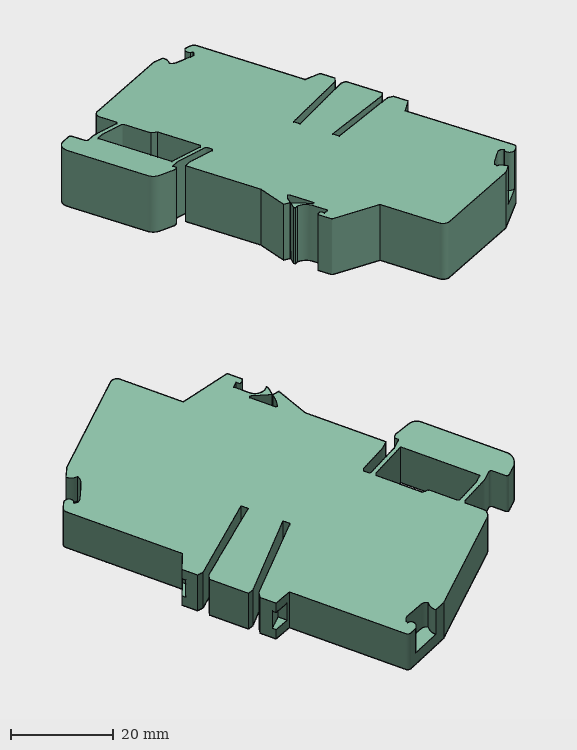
import cadquery as cq
import math

length = 80.0
width = 50.0
thickness = 12.8
mid_x = length / 2

body_bottom = 14.0
body_top = 46.6
shoulder_y = 37.0
shoulder_run = 3.3
shoulder_radius = 1.0
body_corner_radius = 1.4

tab_half_base = 11.4
tab_half_top = 10.0
slot_floor_y = 31.8
slot_outer_floor = 5.2
slot_inner_floor = 3.7
slot_outer_mouth = 5.9
slot_inner_mouth = 4.6
mouth_chamfer_height = 1.0
outer_tab_chamfer = 0.7
center_tab_chamfer = 0.5

notch_floor_y = 47.1
notch_bottom_z = 3.4
notch_top_z = 9.4
notch_wall = 9.2

rail_face = 7.0
strip_lean = math.tan(math.radians(15))
strip_corner_radius = 0.5
strip_bend_radius = 2.4
recess_top = 15.0
recess_step_start = 13.0
recess_step_end = 14.0
strip_bend_y = 7.5
left_strip_outer = 3.9
left_strip_inner = 5.2
right_strip_inner = 22.2
right_strip_outer = 23.0
window_bend_y = 8.6
foot_shelf_y = 5.0
foot_shelf_radius = 0.6
foot_corner_radius = 2.5
foot_end_radius = 2.2
foot_end_bottom = 22.1
latch_tip_x = 24.1
latch_bottom_y = 4.6
latch_top_y = 5.5
latch_radius = 0.3

block_left = 25.1
block_bend_y = 8.6
ramp_start = 42.2
jaw_tip = (49.0, 4.4)
jaw_contact = (49.8, 5.6)
jaw_gap = 0.1
pocket_bend = (48.5, 6.7)
pocket_left = 47.6
pocket_top = 8.0
pocket_corner_radius = 0.3
prong_root_x = 53.7
prong_root_top = 7.6
prong_end_left = (51.2, 4.4)
prong_end_right = (51.6, 4.4)
prong_side_y = 5.2
prong_curve_x = 52.2
prong_curve_radius = 2.6
hook_throat_x = 57.4
hook_lip_y = 5.8
hook_nose_x = 56.5
hook_bottom = 4.6
hook_radius = 0.3
hook_end = 59.8
block_right = 65.1

marker_floor_z = 4.1
upper_lip_start = (2.6, 44.7)
upper_lip_nose = (2.7, 44.2)
upper_lip_end = (2.9, 43.9)
upper_land_middle = (3.6, 43.5)
upper_land_end = (4.3, 43.7)
upper_groove_start = (4.6, 44.1)
upper_groove_middle = (5.2, 43.5)
upper_groove_end = (5.3, 42.6)
lower_groove_start = (3.8, 39.0)
lower_groove_middle = (3.4, 38.5)
lower_groove_end = (2.8, 38.2)
lower_lip_start = (2.3, 38.6)
lower_lip_middle = (1.6, 39.0)
lower_lip_end = (0.6, 39.1)
opening_clearance = 0.6


def rounded_outline(corners):
    """Closed wire through (x, y, radius) corners; radius 0 keeps a corner sharp."""
    path = []
    for i, (x, y, radius) in enumerate(corners):
        before = corners[i - 1]
        after = corners[(i + 1) % len(corners)]
        corner = cq.Vector(x, y)
        to_before = (cq.Vector(before[0], before[1]) - corner).normalized()
        to_after = (cq.Vector(after[0], after[1]) - corner).normalized()
        if radius == 0:
            path.append((corner,))
            continue
        half_angle = to_before.getAngle(to_after) / 2
        setback = radius / math.tan(half_angle)
        bisector = (to_before + to_after).normalized()
        arc_middle = corner + bisector * (radius / math.sin(half_angle) - radius)
        path.append((corner + to_before * setback, arc_middle, corner + to_after * setback))

    wire = cq.Workplane("XY").moveTo(path[0][-1].x, path[0][-1].y)
    for step in path[1:] + path[:1]:
        wire = wire.lineTo(step[0].x, step[0].y)
        if len(step) == 3:
            wire = wire.threePointArc(step[1].toTuple()[:2], step[2].toTuple()[:2])
    return wire.close()


def mirrored(shape):
    """Mirror image of a shape about the middle of the length."""
    return shape.mirror("YZ", (mid_x, 0, 0))


def lean(x, y):
    """X reached at the strip tops when leaning from x at the bend level to level y."""
    return x + (y - strip_bend_y) * strip_lean


def outer_outline():
    """Corners of the whole plate, counter-clockwise from the foot."""
    foot = [
        (0, foot_shelf_y, foot_shelf_radius),
        (0, 0, foot_corner_radius),
        (foot_end_bottom, 0, foot_end_radius),
        (latch_tip_x, latch_bottom_y, latch_radius),
        (latch_tip_x, latch_top_y, latch_radius),
        (right_strip_outer, latch_top_y, 0),
        (right_strip_outer, strip_bend_y, 0),
    ]
    release_slot = [
        (lean(right_strip_outer, recess_top), recess_top, strip_corner_radius),
        (block_left + (recess_top - block_bend_y) * strip_lean, recess_top, strip_corner_radius),
        (block_left, block_bend_y, 0),
        (block_left, rail_face, 0),
    ]
    jaw = [
        (ramp_start, rail_face, 0),
        (*jaw_tip, 0),
        (jaw_contact[0] - jaw_gap / 2, jaw_contact[1], 0),
        (*pocket_bend, 0),
        (pocket_left, pocket_top, pocket_corner_radius),
        (prong_root_x, pocket_top, 0),
        (prong_root_x, prong_root_top, 0),
        (jaw_contact[0] + jaw_gap / 2, jaw_contact[1], 0),
        (*prong_end_left, 0),
        (*prong_end_right, 0),
        (prong_end_right[0], prong_side_y, 0),
        (prong_curve_x, rail_face, prong_curve_radius),
    ]
    hook = [
        (hook_throat_x, rail_face, 0),
        (hook_throat_x, hook_lip_y, 0),
        (hook_nose_x, hook_lip_y, hook_radius),
        (hook_nose_x, hook_bottom, hook_radius),
        (hook_end, hook_bottom, hook_radius),
        (block_right, body_bottom, 0),
    ]
    body = [
        (length, body_bottom, body_corner_radius),
        (length, shoulder_y, 0),
        (length - shoulder_run, body_top, shoulder_radius),
        (mid_x + tab_half_base, body_top, 0),
        (mid_x + tab_half_top, width, 0),
        (mid_x - tab_half_top, width, 0),
        (mid_x - tab_half_base, body_top, 0),
        (shoulder_run, body_top, shoulder_radius),
        (0, shoulder_y, 0),
        (0, body_bottom, body_corner_radius),
    ]
    left_strip = [
        (lean(left_strip_outer, body_bottom), body_bottom, strip_corner_radius),
        (left_strip_outer, strip_bend_y, strip_bend_radius),
        (left_strip_outer, foot_shelf_y, foot_shelf_radius),
    ]
    return foot + release_slot + jaw + hook + body + left_strip


def strip_window():
    """Through window between the two strips."""
    left_top = left_strip_inner + (body_bottom - window_bend_y) * strip_lean
    corners = [
        (left_strip_inner, rail_face, 0),
        (right_strip_inner - (strip_bend_y - rail_face) * strip_lean, rail_face, 0),
        (lean(right_strip_inner, recess_top), recess_top, strip_corner_radius),
        (recess_step_end, recess_top, 0),
        (recess_step_start, body_bottom, 0),
        (left_top, body_bottom, strip_corner_radius),
        (left_strip_inner, window_bend_y, 0),
    ]
    return rounded_outline(corners).extrude(thickness)


def tab_slot():
    """Left tapered slot, with chamfered corners where it opens."""
    chamfer_y = width - mouth_chamfer_height
    return (
        cq.Workplane("XY")
        .moveTo(mid_x - slot_outer_floor, slot_floor_y)
        .lineTo(mid_x - slot_inner_floor, slot_floor_y)
        .lineTo(mid_x - slot_inner_mouth, chamfer_y)
        .lineTo(mid_x - slot_inner_mouth + center_tab_chamfer, width)
        .lineTo(mid_x - slot_outer_mouth - outer_tab_chamfer, width)
        .lineTo(mid_x - slot_outer_mouth, chamfer_y)
        .close()
        .extrude(thickness)
    )


def tab_notch():
    """Notch in the flank of the left tab, ending on a wall square to X."""
    depth = tab_half_base - notch_wall
    height = notch_top_z - notch_bottom_z
    block = cq.Workplane("XY").box(depth, width - notch_floor_y, height, centered=False)
    return block.translate((mid_x - tab_half_base, notch_floor_y, notch_bottom_z))


def marker_pocket():
    """Left marker pocket: curved lips at the opening and a groove at each inner corner."""
    return (
        cq.Workplane("XY", origin=(0, 0, marker_floor_z))
        .moveTo(*upper_lip_start)
        .threePointArc(upper_lip_nose, upper_lip_end)
        .threePointArc(upper_land_middle, upper_land_end)
        .lineTo(*upper_groove_start)
        .threePointArc(upper_groove_middle, upper_groove_end)
        .lineTo(*lower_groove_start)
        .threePointArc(lower_groove_middle, lower_groove_end)
        .lineTo(*lower_lip_start)
        .threePointArc(lower_lip_middle, lower_lip_end)
        .lineTo(0, lower_lip_end[1])
        .lineTo(upper_lip_start[0] - opening_clearance, upper_lip_start[1])
        .close()
        .extrude(thickness - marker_floor_z)
    )


plate = rounded_outline(outer_outline()).extrude(thickness)
plate = plate.cut(strip_window())
for cutter in (tab_slot(), tab_notch(), marker_pocket()):
    plate = plate.cut(cutter).cut(mirrored(cutter))

result = plate